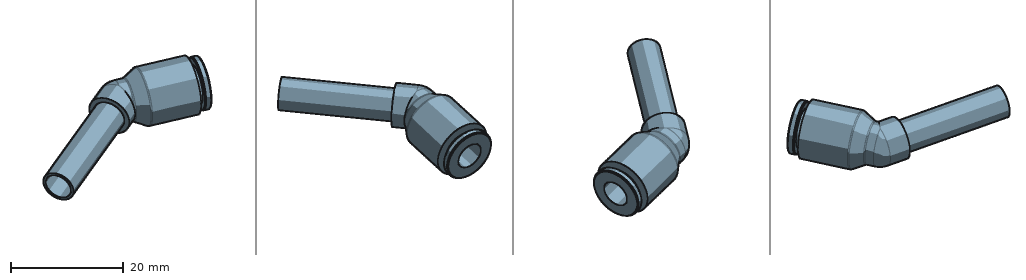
import cadquery as cq
import math

BEND_ANGLE = 45.0
TOTAL_LENGTH_Y = 39.08

ELBOW_RADIUS = 4.0
COLLAR_LENGTH = 4.0
STEM_RADIUS = 3.0
BORE_RADIUS = 2.5

SHOULDER_START = 1.7
SHOULDER_END = 4.25
BODY_END = 13.6
BODY_RADIUS = 5.45
SHOULDER_FILLET = 0.5

SLEEVE_RADIUS = 3.6
FLANGE_START = 14.55
FLANGE_END = 15.83
FLANGE_RADIUS = 4.92
FLANGE_CHAMFER = 0.2


def cylinder(radius, start, end):
    """Cylinder about the Y axis between two Y positions."""
    return cq.Workplane("XZ", origin=(0, start, 0)).circle(radius).extrude(start - end)


def to_branch(shape):
    """Turn a shape built along +Y onto the branch axis."""
    return shape.rotate((0, 0, 0), (0, 0, 1), -BEND_ANGLE)


def bend(radius, stem_end, branch_end):
    """Two round legs joined by a ball at the elbow centre."""
    ball = cq.Workplane("XY").sphere(radius)
    stem_leg = cylinder(radius, stem_end, 0)
    branch_leg = to_branch(cylinder(radius, 0, branch_end))
    return stem_leg.union(branch_leg).union(ball)


def socket_body():
    """Round body with a conical shoulder that blends into the elbow neck and the body wall."""
    outline = (
        cq.Workplane("XY")
        .lineTo(ELBOW_RADIUS, 0)
        .lineTo(ELBOW_RADIUS, SHOULDER_START)
        .lineTo(BODY_RADIUS, SHOULDER_END)
        .lineTo(BODY_RADIUS, BODY_END)
        .lineTo(0, BODY_END)
        .close()
    )
    body = outline.revolve(360, (0, 0, 0), (0, 1, 0))
    shoulder_edges = body.edges("%CIRCLE").edges("not (<Y or >Y)")
    return shoulder_edges.fillet(SHOULDER_FILLET)


def release_sleeve():
    """Short sleeve with a chamfered flange at its free end."""
    flange = cylinder(FLANGE_RADIUS, FLANGE_START, FLANGE_END).edges().chamfer(FLANGE_CHAMFER)
    return cylinder(SLEEVE_RADIUS, BODY_END, FLANGE_END).union(flange)


bend_angle = math.radians(BEND_ANGLE)
flange_top = FLANGE_END * math.cos(bend_angle) + (FLANGE_RADIUS - FLANGE_CHAMFER) * math.sin(bend_angle)
stem_end = flange_top - TOTAL_LENGTH_Y

elbow = bend(ELBOW_RADIUS, -COLLAR_LENGTH, SHOULDER_START)
stem = cylinder(STEM_RADIUS, stem_end, -COLLAR_LENGTH)
branch = to_branch(socket_body().union(release_sleeve()))
bore = bend(BORE_RADIUS, stem_end, FLANGE_END)

result = elbow.union(stem).union(branch).cut(bore)